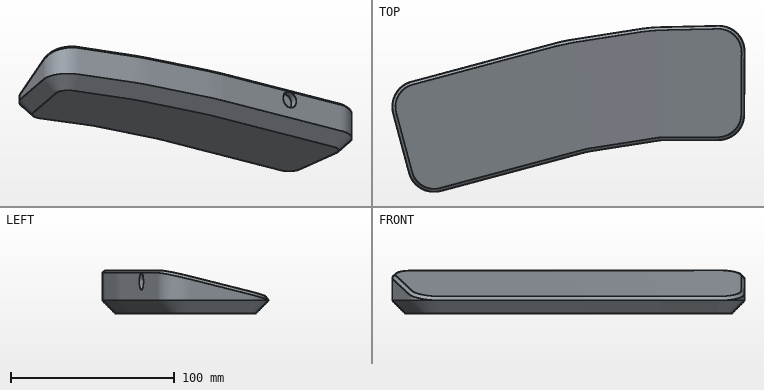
import cadquery as cq
import math

depth = 69.25
right_length = 49.05
middle_length = 42.65
left_length = 107.15
right_bend = 8.9
left_bend = 6.1
front_bend_radius = 25.0
corner_radius = 16.0
back_flare = 1.1
end_lean = 0.5

overall_height = 26.55
top_slope = 13.65
top_chamfer = 2.0
bottom_chamfer = 8.0
slope_rise = math.tan(math.radians(top_slope))
ridge_height = overall_height + top_chamfer * math.sin(math.radians(top_slope))
back_height = ridge_height - back_flare * (1 - corner_radius / right_length) * slope_rise
front_height = back_height - depth * slope_rise

recess_diameter = 10.0
recess_depth = 5.0
recess_height = 19.6
recess_from_bend = 51.5

bend_centre_y = -(depth + front_bend_radius)


def section(flare=0):
    """Cross-section of the bar in the plane X = 0, its top face carried on to a back wall at Y = flare."""
    flared_height = back_height + flare * slope_rise
    corners = [(flare, 0), (flare, flared_height), (-depth, front_height), (-depth, 0)]
    return cq.Workplane("YZ").polyline(corners).close()


def turn(body, angle):
    """Swing a body about the vertical bend axis, counter-clockwise seen from above."""
    return body.rotate((0, bend_centre_y, 0), (0, bend_centre_y, 1), angle)


def block(length):
    """Straight block ending at X = 0 and running towards -X."""
    return section().extrude(-length)


def left_end_block():
    return block(left_length).edges("|Z and <X").fillet(corner_radius)


def right_end_block():
    """Block from X = 0 towards +X whose back wall flares out and whose end wall leans to match."""
    plan = [(0, 0), (right_length, back_flare), (right_length - end_lean, -depth), (0, -depth)]
    walls = cq.Workplane("XY").polyline(plan).close().extrude(back_height + back_flare)
    wedge = section(back_flare).extrude(right_length)
    end_corners = cq.selectors.BoxSelector(
        (right_length / 2, -2 * depth, 0), (2 * right_length, depth, overall_height)
    )
    return walls.intersect(wedge).edges("|Z").edges(end_corners).fillet(corner_radius)


def bend(angle):
    """Bend that starts at X = 0 and turns towards -X and the front."""
    return section().revolve(angle, (bend_centre_y, 0), (bend_centre_y, 1))


def left_part():
    return turn(left_end_block(), left_bend).union(bend(left_bend))


def middle_and_left():
    bent_end = left_part().translate((-middle_length, 0, 0))
    return turn(block(middle_length).union(bent_end), right_bend).union(bend(right_bend))


def bar():
    return right_end_block().union(middle_and_left())


def to_left_block(body):
    """Move a body from the left block's own frame to its place in the bar."""
    return turn(turn(body, left_bend).translate((-middle_length, 0, 0)), right_bend)


def recess():
    tool = (
        cq.Workplane("XZ", origin=(-recess_from_bend, 0, recess_height))
        .circle(recess_diameter / 2)
        .extrude(recess_depth)
    )
    return to_left_block(tool)


def top_rim(body):
    """Edges between the sloped top faces and the walls: those that only one top face has."""
    top_faces = body.faces().filter(lambda face: face.normalAt().z > 0.5).vals()
    edges = [edge for face in top_faces for edge in face.Edges()]
    return [edge for edge in edges if sum(edge.isSame(other) for other in edges) == 1]


body = bar()
body = body.newObject(top_rim(body)).chamfer(top_chamfer)
body = body.faces("<Z").edges().chamfer(bottom_chamfer)
result = body.cut(recess())